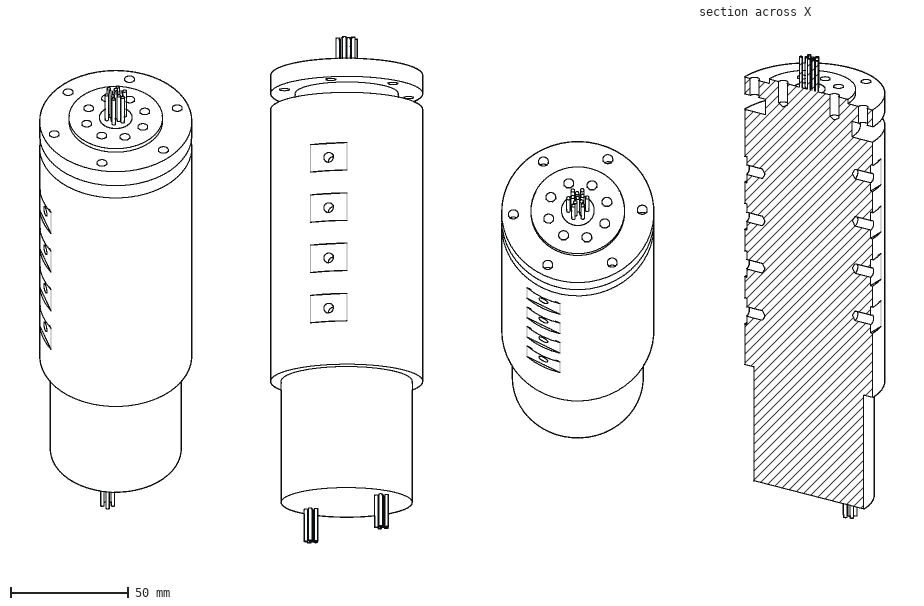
import cadquery as cq
import math

MOTOR_DIAMETER = 56.0
MOTOR_LENGTH = 53.0
BODY_DIAMETER = 65.0
BODY_LENGTH = 119.0
NECK_DIAMETER = 44.0
NECK_LENGTH = 7.0
FLANGE_LENGTH = 8.0
PILOT_DIAMETER = 40.0
PILOT_LENGTH = 2.0

BODY_BOTTOM = MOTOR_LENGTH
BODY_TOP = BODY_BOTTOM + BODY_LENGTH
FLANGE_BOTTOM = BODY_TOP + NECK_LENGTH
FLANGE_TOP = FLANGE_BOTTOM + FLANGE_LENGTH
PILOT_TOP = FLANGE_TOP + PILOT_LENGTH

RECESS_DIAMETER = 14.0
RECESS_DEPTH = 0.1

WIRE_DIAMETER = 1.5
WIRE_LENGTH = 14.0
TOP_RINGS = ((5, 2.2), (6, 4.0))
BOTTOM_RINGS = ((5, 2.4),)
TOP_FIRST_ANGLE = 90.0
BOTTOM_FIRST_ANGLE = -90.0
BOTTOM_BUNDLE_CENTERS = ((-17.85, 9.3), (17.85, -9.3))

HOLE_DIAMETER = 4.2
DRILL_POINT_ANGLE = 118.0
FLANGE_HOLE_COUNT = 6
FLANGE_HOLE_CIRCLE = 55.0
FLANGE_HOLE_FIRST_ANGLE = 90.0
PILOT_HOLE_COUNT = 8
PILOT_HOLE_CIRCLE = 26.0
PILOT_HOLE_DEPTH = 10.0
PAD_HOLE_DEPTH = 8.0

PAD_COUNT = 4
PAD_HEIGHT = 12.0
PAD_CUT_DEPTH = 1.0
PAD_PITCH = 22.0
TOP_PAD_SETBACK = 28.0
FRONT_TOP_PAD_Z = BODY_TOP - TOP_PAD_SETBACK
BACK_TOP_PAD_Z = FRONT_TOP_PAD_Z + PAD_PITCH / 2
PAD_FACE_RADIUS = BODY_DIAMETER / 2 - PAD_CUT_DEPTH


def cylinder(diameter, length, bottom):
    return cq.Workplane("XY", origin=(0, 0, bottom)).circle(diameter / 2).extrude(length)


def stacked_body():
    return (
        cylinder(MOTOR_DIAMETER, MOTOR_LENGTH, 0)
        .union(cylinder(BODY_DIAMETER, BODY_LENGTH, BODY_BOTTOM))
        .union(cylinder(NECK_DIAMETER, NECK_LENGTH, BODY_TOP))
        .union(cylinder(BODY_DIAMETER, FLANGE_LENGTH, FLANGE_BOTTOM))
        .union(cylinder(PILOT_DIAMETER, PILOT_LENGTH, FLANGE_TOP))
    )


def wire_bundle(rings, center, first_angle, length, bottom):
    """Parallel wires; the first wire of each ring lies at first_angle (degrees from +X)."""
    base = cq.Workplane("XY", origin=(center[0], center[1], bottom))
    wires = base.circle(WIRE_DIAMETER / 2).extrude(length).vals()
    for count, radius in rings:
        places = base.polarArray(radius, first_angle, 360, count)
        ring = places.circle(WIRE_DIAMETER / 2).extrude(length)
        wires += ring.solids().vals()
    return wires


def drilled_hole(depth, start, direction):
    """Blind hole with a conical drill point."""
    radius = HOLE_DIAMETER / 2
    point = radius / math.tan(math.radians(DRILL_POINT_ANGLE / 2))
    axis = cq.Vector(*direction)
    origin = cq.Vector(*start)
    straight = cq.Solid.makeCylinder(radius, depth, origin, axis)
    cone = cq.Solid.makeCone(radius, 0, point, origin + axis * depth, axis)
    return cq.Workplane(obj=straight).union(cq.Workplane(obj=cone))


def cut_flange_holes(part):
    holes = (
        cq.Workplane("XY", origin=(0, 0, FLANGE_BOTTOM))
        .polarArray(FLANGE_HOLE_CIRCLE / 2, FLANGE_HOLE_FIRST_ANGLE, 360, FLANGE_HOLE_COUNT)
        .circle(HOLE_DIAMETER / 2)
        .extrude(FLANGE_LENGTH)
    )
    return part.cut(holes)


def cut_pilot_holes(part):
    for i in range(PILOT_HOLE_COUNT):
        angle = 2 * math.pi * i / PILOT_HOLE_COUNT
        x = PILOT_HOLE_CIRCLE / 2 * math.cos(angle)
        y = PILOT_HOLE_CIRCLE / 2 * math.sin(angle)
        part = part.cut(drilled_hole(PILOT_HOLE_DEPTH, (x, y, PILOT_TOP), (0, 0, -1)))
    return part


def cut_pads(part, side, top_pad_z):
    """Column of drilled flats; side is -1 for the front and +1 for the back."""
    for i in range(PAD_COUNT):
        z = top_pad_z - i * PAD_PITCH
        flat = cq.Workplane("XY").box(BODY_DIAMETER, 2 * PAD_CUT_DEPTH, PAD_HEIGHT)
        part = part.cut(flat.translate((0, side * BODY_DIAMETER / 2, z)))
        hole_start = (0, side * PAD_FACE_RADIUS, z)
        part = part.cut(drilled_hole(PAD_HOLE_DEPTH, hole_start, (0, -side, 0)))
    return part


def cut_recess(part):
    return part.cut(cylinder(RECESS_DIAMETER, RECESS_DEPTH, PILOT_TOP - RECESS_DEPTH))


def add_wires(part):
    recess_floor = PILOT_TOP - RECESS_DEPTH
    wires = wire_bundle(TOP_RINGS, (0, 0), TOP_FIRST_ANGLE, WIRE_LENGTH + RECESS_DEPTH, recess_floor)
    for center in BOTTOM_BUNDLE_CENTERS:
        wires += wire_bundle(BOTTOM_RINGS, center, BOTTOM_FIRST_ANGLE, WIRE_LENGTH, -WIRE_LENGTH)
    for wire in wires:
        part = part.union(cq.Workplane(obj=wire))
    return part


result = stacked_body()
result = cut_pads(result, -1, FRONT_TOP_PAD_Z)
result = cut_pads(result, 1, BACK_TOP_PAD_Z)
result = cut_flange_holes(result)
result = cut_pilot_holes(result)
result = cut_recess(result)
result = add_wires(result)